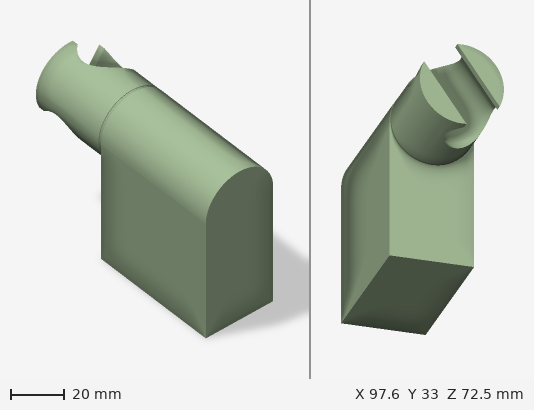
import cadquery as cq

total_length = 97.6
housing_width = 33.0
housing_height = 72.5
housing_radius = housing_width / 2
housing_start = 37.4

head_radius = 16.4
spacer_radius = 16.1
spacer_thickness = 1.5
head_length = housing_start - spacer_thickness

bore_tilt = 35.0
bore_center_x = 11.5
bore_radius = 11.7
lining_radius = 12.5
mouth_half_width = 7.9
arm_half_width = 9.0
tab_start = 11.3
cut_length = 3 * head_radius


def barrel(radius, start, length):
    """Cylinder along the barrel axis."""
    return cq.Workplane("YZ").workplane(offset=start).circle(radius).extrude(length)


def tilt(shape):
    """Lean a shape built along Z to the direction of the bore."""
    return shape.rotate((0, 0, 0), (1, 0, 0), -bore_tilt)


def keyhole(radius, half_width):
    """Upright round bore joined to a straight mouth that opens at X = 0."""
    bore = cq.Workplane("XY").center(bore_center_x, 0).circle(radius).extrude(cut_length / 2, both=True)
    mouth = cq.Workplane("XY").box(bore_center_x, 2 * half_width, cut_length, centered=(False, True, True))
    return bore.union(mouth)


def end_tab(side):
    """Slab over one end of the bore; the head surface trims it to a thin tab."""
    slab = cq.Workplane("XY").box(
        bore_center_x, 2 * head_radius, head_radius, centered=(False, True, False)
    ).translate((0, 0, tab_start))
    return slab if side > 0 else slab.mirror("XY")


lining_space = keyhole(lining_radius, arm_half_width)
for side in (1, -1):
    lining_space = lining_space.union(end_tab(side))
lining_space = tilt(lining_space)

block = cq.Workplane("XY").box(
    total_length - housing_start, housing_width, housing_height - housing_radius,
    centered=(False, True, False),
).translate((housing_start, 0, housing_radius - housing_height))
housing = barrel(housing_radius, housing_start, total_length - housing_start).union(block)

spacer = barrel(spacer_radius, head_length, spacer_thickness)

head_blank = barrel(head_radius, 0, head_length)
head = head_blank.cut(lining_space)
lining = head_blank.intersect(lining_space).cut(tilt(keyhole(bore_radius, mouth_half_width)))

result = cq.Compound.makeCompound([housing.val(), spacer.val(), *head.vals(), *lining.vals()])